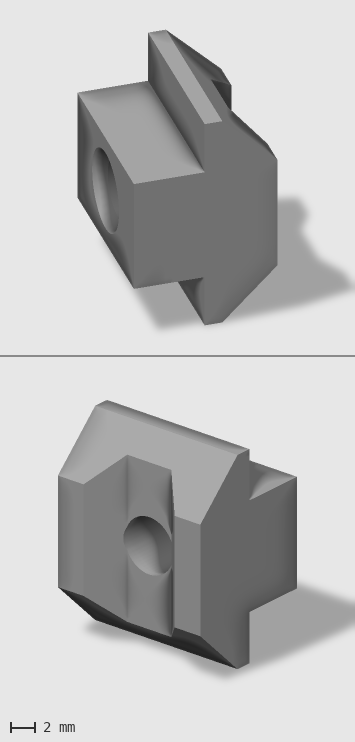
import cadquery as cq

length = 15.0
depth = 12.2
height = 19.0

neck_height = 9.9
neck_depth = 6.0
lip_thickness = 1.5

groove_width = 9.6
groove_floor_width = 4.64
groove_depth = 2.55

hole_diameter = 5.1
countersink_diameter = 7.1
countersink_angle = 90.0


def make_body():
    """T-nut profile in the YZ plane, extruded symmetrically along X."""
    half_height = height / 2
    half_neck = neck_height / 2
    bevel_start = neck_depth + lip_thickness
    upper_half = [
        (0, half_neck),
        (neck_depth, half_neck),
        (neck_depth, half_height),
        (bevel_start, half_height),
        (depth, half_neck),
    ]
    lower_half = [(y, -z) for y, z in reversed(upper_half)]
    profile = cq.Workplane("YZ").polyline(upper_half + lower_half).close()
    return profile.extrude(length / 2, both=True)


def make_groove():
    """Trapezoidal groove running the full height along Z."""
    floor_y = depth - groove_depth
    section = [
        (-groove_width / 2, depth),
        (-groove_floor_width / 2, floor_y),
        (groove_floor_width / 2, floor_y),
        (groove_width / 2, depth),
    ]
    return cq.Workplane("XY").polyline(section).close().extrude(height / 2, both=True)


def cut_hole(body):
    """Countersunk hole through the centre of the neck face."""
    return (
        body.faces("<Y")
        .workplane(origin=(0, 0, 0))
        .cskHole(hole_diameter, countersink_diameter, countersink_angle)
    )


result = cut_hole(make_body().cut(make_groove()))